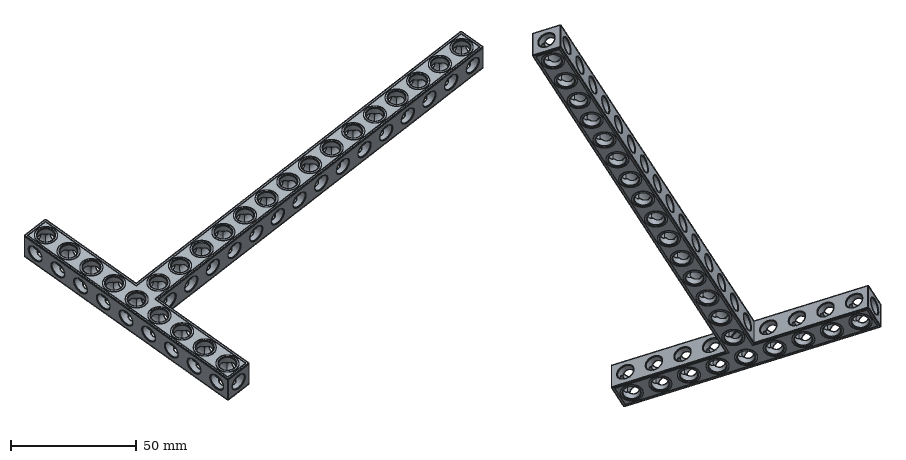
import cadquery as cq

length = 200.0
length_cells = 16
bar_cells = 9
hole_d = 7.0
chamfer = 0.3
panel_depth = 0.2
panel_margin = 1.1

pitch = length / length_cells
half = pitch / 2
bar_length = bar_cells * pitch
rim_d = hole_d + 2 * panel_margin

stem_back = length - half
bar_places = [(i - bar_cells // 2) * pitch for i in range(bar_cells)]
stem_places = [i * pitch for i in range(1, length_cells)]
all_places = [(x, 0) for x in bar_places] + [(0, y) for y in stem_places]


def make_tee(inset, height):
    """T-shaped plate standing on Z = 0, inset from the outer sides."""
    side = half - inset
    tip = bar_length / 2 - inset
    back = stem_back - inset
    outline = [
        (-tip, -side),
        (tip, -side),
        (tip, side),
        (side, side),
        (side, back),
        (-side, back),
        (-side, side),
        (-tip, side),
    ]
    return cq.Workplane("XY").polyline(outline).close().extrude(height)


def make_body():
    """Square-section T with all edges chamfered but the two upright inner corners."""
    body = make_tee(0, pitch).translate((0, 0, -half))
    return body.edges("(not |Z) or <X or >X or >Y").chamfer(chamfer)


def make_panel():
    """Upper sunken panel, leaving a rim round every hole."""
    rims = cq.Workplane("XY").pushPoints(all_places).circle(rim_d / 2).extrude(panel_depth)
    return make_tee(panel_margin, panel_depth).cut(rims).translate((0, 0, half - panel_depth))


def make_drill(depth):
    """Through hole along Z, centred on the origin and chamfered at both mouths."""
    end = depth / 2
    hole_r = hole_d / 2
    profile = [
        (0, -end),
        (hole_r + chamfer, -end),
        (hole_r, chamfer - end),
        (hole_r, end - chamfer),
        (hole_r + chamfer, end),
        (0, end),
    ]
    return cq.Workplane("XZ").polyline(profile).close().revolve(360, (0, 0), (0, 1))


def along_x(drill):
    return drill.rotate((0, 0, 0), (0, 1, 0), 90)


def along_y(drill):
    return drill.rotate((0, 0, 0), (1, 0, 0), 90)


panel = make_panel()
result = make_body().cut(panel).cut(panel.mirror("XY"))

drill = make_drill(pitch)
for x, y in all_places:
    result = result.cut(drill.translate((x, y, 0)))
for x in bar_places:
    result = result.cut(along_y(drill).translate((x, 0, 0)))
for y in stem_places:
    result = result.cut(along_x(drill).translate((0, y, 0)))

result = result.cut(along_x(make_drill(bar_length)))
result = result.cut(along_y(make_drill(length)).translate((0, stem_back - length / 2, 0)))